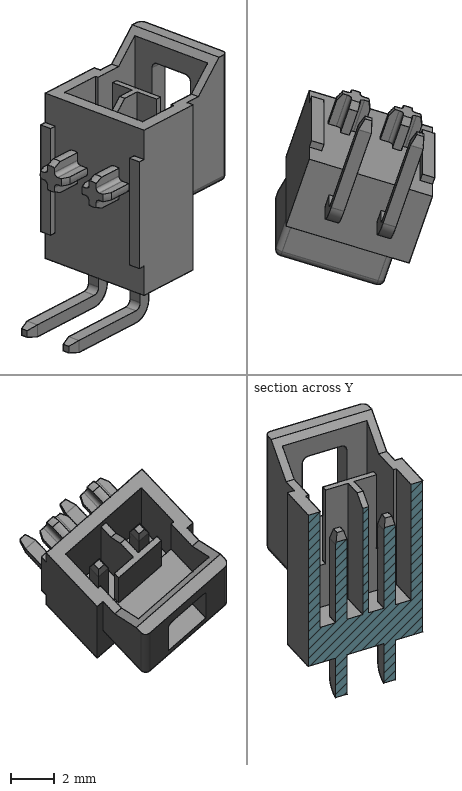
import cadquery as cq


PITCH = 2.5
CONTACT_X = (-PITCH / 2, PITCH / 2)
PIN_SIZE = 0.62
PIN_TIP_SIZE = 0.34
PIN_TIP_LENGTH = 0.55
PIN_BEND_RADIUS = 0.3
PIN_END_Y = -3.5
PIN_BOTTOM_Z = -2.26
PIN_TOP_Z = 6.9

BODY_WIDTH = 5.94
BODY_DEPTH = 3.47
BODY_HEIGHT = 8.44

SEPTUM = 0.31
POCKET_SIZE = PITCH - SEPTUM
POCKET_FRONT_Y = 0.64
POCKET_BACK_Y = POCKET_FRONT_Y + POCKET_SIZE
POCKET_FLOOR_Z = 2.0
PIN_Y = 1.7

SEPTUM_SLOPE_TOP_Y = 1.95
SEPTUM_STEP = 0.63

HOOD_WIDTH = 5.22
HOOD_BACK_Y = 6.34
HOOD_BOTTOM_Z = 3.42
HOOD_TOP_Z = 9.9
HOOD_RIM_Y = 5.73
HOOD_SLOPE = HOOD_TOP_Z - BODY_HEIGHT
HOOD_FILLET = 0.3
HOOD_WALL = 0.92
HOOD_CAVITY_WIDTH = 4.38
HOOD_CAVITY_BACK_Y = HOOD_BACK_Y - HOOD_WALL
HOOD_FLOOR_Z = HOOD_BOTTOM_Z + HOOD_WALL

WINDOW_WIDTH = 2.3
WINDOW_TOP_Z = 8.59
WINDOW_RADIUS = 0.3

PARTITION_WIDTH = 2.64
PARTITION_THICKNESS = 0.29

STANDOFF_WIDTH = 0.6
STANDOFF_DEPTH = 0.33
STANDOFF_HEIGHT = 5.45

PEG_Z = 5.23
PEG_RADIUS = 0.82
PEG_TIP_RADIUS = 0.645
PEG_LENGTH = 1.62
PEG_TAPER_LENGTH = 0.39
PEG_HORIZONTAL_RIB = 0.38
PEG_VERTICAL_RIB = 0.43
PEG_FILLET = 0.2


def block(width, y_range, z_range, center_x=0):
    """Box centred on center_x in X, spanning the given Y and Z ranges."""
    y_min, y_max = y_range
    z_min, z_max = z_range
    return cq.Workplane("XY").box(
        width, y_max - y_min, z_max - z_min, centered=(True, False, False)
    ).translate((center_x, y_min, z_min))


def side_profile(points, width):
    """Extrude a (Y, Z) outline symmetrically about X = 0."""
    return cq.Workplane("YZ").polyline(points).close().extrude(width / 2, both=True)


def make_hood():
    outline = [
        (POCKET_BACK_Y, HOOD_BOTTOM_Z),
        (HOOD_BACK_Y, HOOD_BOTTOM_Z),
        (HOOD_BACK_Y, HOOD_TOP_Z),
        (HOOD_RIM_Y, HOOD_TOP_Z),
        (HOOD_RIM_Y - HOOD_SLOPE, BODY_HEIGHT),
        (POCKET_BACK_Y, BODY_HEIGHT),
    ]
    hood = side_profile(outline, HOOD_WIDTH)
    back_uprights = hood.edges("|Z and >Y")
    bottom_sides = hood.edges("|Y and <Z")
    back_bottom = hood.faces(">Y").edges("<Z")
    return back_uprights.add(bottom_sides).add(back_bottom).fillet(HOOD_FILLET)


def cut_cavities(housing):
    hood_cavity = block(
        HOOD_CAVITY_WIDTH, (POCKET_BACK_Y, HOOD_CAVITY_BACK_Y), (HOOD_FLOOR_Z, HOOD_TOP_Z)
    )
    window = block(
        WINDOW_WIDTH, (HOOD_CAVITY_BACK_Y, HOOD_BACK_Y), (HOOD_FLOOR_Z, WINDOW_TOP_Z)
    ).edges("|Y and >Z").fillet(WINDOW_RADIUS)
    housing = housing.cut(hood_cavity).cut(window)
    for x in CONTACT_X:
        pocket = block(
            POCKET_SIZE, (POCKET_FRONT_Y, POCKET_BACK_Y), (POCKET_FLOOR_Z, BODY_HEIGHT), x
        )
        housing = housing.cut(pocket)
    return housing


def make_partition():
    return block(
        PARTITION_WIDTH,
        (POCKET_BACK_Y, POCKET_BACK_Y + PARTITION_THICKNESS),
        (HOOD_FLOOR_Z, BODY_HEIGHT),
    )


def make_septum_relief():
    step_z = BODY_HEIGHT - SEPTUM_STEP
    outline = [
        (POCKET_FRONT_Y, BODY_HEIGHT),
        (POCKET_FRONT_Y, step_z),
        (SEPTUM_SLOPE_TOP_Y - SEPTUM_STEP, step_z),
        (SEPTUM_SLOPE_TOP_Y, BODY_HEIGHT),
    ]
    return side_profile(outline, SEPTUM)


def make_standoff(side):
    bottom_z = (BODY_HEIGHT - STANDOFF_HEIGHT) / 2
    center_x = side * (BODY_WIDTH - STANDOFF_WIDTH) / 2
    return block(
        STANDOFF_WIDTH, (-STANDOFF_DEPTH, 0), (bottom_z, bottom_z + STANDOFF_HEIGHT), center_x
    )


def make_peg(x):
    """Cross with filleted inner corners, trimmed to a round pin with a conical tip."""
    diameter = 2 * PEG_RADIUS
    cross = (
        cq.Workplane("XZ").rect(diameter, PEG_HORIZONTAL_RIB).extrude(PEG_LENGTH)
        .union(cq.Workplane("XZ").rect(PEG_VERTICAL_RIB, diameter).extrude(PEG_LENGTH))
    )
    inner_corners = cq.selectors.BoxSelector(
        (-PEG_VERTICAL_RIB, -PEG_LENGTH, -PEG_HORIZONTAL_RIB),
        (PEG_VERTICAL_RIB, 0, PEG_HORIZONTAL_RIB),
    )
    cross = cross.edges("|Y").edges(inner_corners).fillet(PEG_FILLET)
    envelope = (
        cq.Workplane("XY")
        .lineTo(PEG_RADIUS, 0)
        .lineTo(PEG_RADIUS, PEG_TAPER_LENGTH - PEG_LENGTH)
        .lineTo(PEG_TIP_RADIUS, -PEG_LENGTH)
        .lineTo(0, -PEG_LENGTH)
        .close()
        .revolve(360, (0, 0, 0), (0, 1, 0))
    )
    return cross.intersect(envelope).translate((x, 0, PEG_Z))


def make_pin_tip(base_plane):
    """Pyramidal tip tapering along the plane normal."""
    return (
        cq.Workplane(base_plane)
        .rect(PIN_SIZE, PIN_SIZE)
        .workplane(offset=PIN_TIP_LENGTH)
        .rect(PIN_TIP_SIZE, PIN_TIP_SIZE)
        .loft()
    )


def make_pin(x):
    """Square pin standing in its pocket, bent forward below the housing."""
    center_z = PIN_BOTTOM_Z + PIN_SIZE / 2
    shank_top_z = PIN_TOP_Z - PIN_TIP_LENGTH
    shank_end_y = PIN_END_Y + PIN_TIP_LENGTH
    bend_radius = PIN_BEND_RADIUS + PIN_SIZE / 2
    path = (
        cq.Workplane("YZ")
        .moveTo(PIN_Y, shank_top_z)
        .lineTo(PIN_Y, center_z + bend_radius)
        .tangentArcPoint((PIN_Y - bend_radius, center_z), relative=False)
        .lineTo(shank_end_y, center_z)
    )
    top_plane = cq.Plane((0, PIN_Y, shank_top_z), (1, 0, 0), (0, 0, 1))
    end_plane = cq.Plane((0, shank_end_y, center_z), (1, 0, 0), (0, -1, 0))
    shank = cq.Workplane(top_plane).rect(PIN_SIZE, PIN_SIZE).sweep(path)
    pin = shank.union(make_pin_tip(top_plane)).union(make_pin_tip(end_plane))
    return pin.translate((x, 0, 0))


housing = block(BODY_WIDTH, (0, BODY_DEPTH), (0, BODY_HEIGHT)).union(make_hood())
housing = cut_cavities(housing)
housing = housing.union(make_partition()).cut(make_septum_relief())

for side in (-1, 1):
    housing = housing.union(make_standoff(side))

for contact_x in CONTACT_X:
    housing = housing.union(make_peg(contact_x)).union(make_pin(contact_x))

result = housing